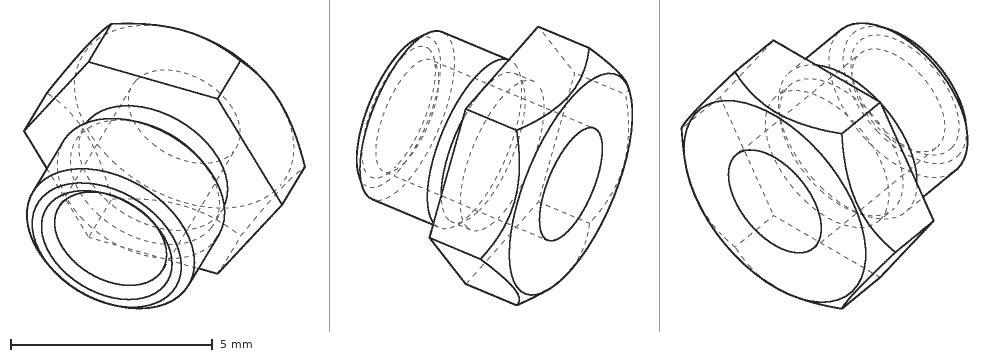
import cadquery as cq
import math

across_corners = 6.93
across_flats = across_corners * math.cos(math.radians(30))
head_length = 2.0
head_face_radius = 2.945

total_length = 5.0
thread_radius = 2.25
neck_radius = 2.0
neck_length = 0.55
bevel = 0.25
bore_radius = 1.505

head_front = total_length - head_length
thread_end = head_front - neck_length
corner_radius = across_corners / 2
corner_chamfer = corner_radius - head_face_radius


def revolve_about_y(profile):
    """Turn a closed (radius, Y) profile around the Y axis."""
    return cq.Workplane("XY").polyline(profile).close().revolve(360, (0, 0, 0), (0, 1, 0))


def make_head():
    """Hexagonal prism, corners on X, with its rear corners turned off by a cone."""
    hexagon = (
        cq.Workplane("XZ", origin=(0, total_length, 0))
        .polygon(6, across_corners)
        .extrude(head_length)
    )
    clearance = across_corners - across_flats
    envelope = revolve_about_y([
        (0, head_front),
        (corner_radius + clearance, head_front),
        (corner_radius + clearance, total_length - corner_chamfer - clearance),
        (head_face_radius, total_length),
        (0, total_length),
    ])
    return hexagon.intersect(envelope)


def make_shank():
    """Bevelled threaded cylinder joined to the head by a narrower neck."""
    return revolve_about_y([
        (0, 0),
        (thread_radius - bevel, 0),
        (thread_radius, bevel),
        (thread_radius, thread_end - (thread_radius - neck_radius)),
        (neck_radius, thread_end),
        (neck_radius, head_front),
        (0, head_front),
    ])


def make_bore():
    """Through hole with a countersunk mouth at the shank tip."""
    return revolve_about_y([
        (0, 0),
        (bore_radius + bevel, 0),
        (bore_radius, bevel),
        (bore_radius, total_length),
        (0, total_length),
    ])


result = make_head().union(make_shank()).cut(make_bore())